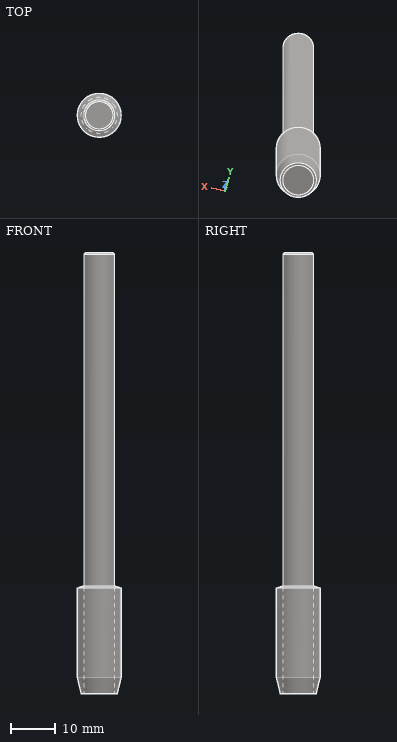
import cadquery as cq

total_length = 100.0

sleeve_diameter = 10.0
sleeve_length = 24.5
shoulder_drop = 0.5
tip_diameter = 8.2
tip_length = 3.7

rod_diameter = 7.0
rod_chamfer = 0.4


def make_rod():
    """Straight round rod over the full length, chamfered at its upper end."""
    rod = cq.Workplane("XY").circle(rod_diameter / 2).extrude(total_length)
    return rod.faces(">Z").chamfer(rod_chamfer)


def make_sleeve():
    """Round sleeve with a tapered lower end, a sloping shoulder and a through bore for the rod."""
    sleeve_radius = sleeve_diameter / 2
    profile = (
        cq.Workplane("XZ")
        .moveTo(rod_diameter / 2, 0)
        .lineTo(tip_diameter / 2, 0)
        .lineTo(sleeve_radius, tip_length)
        .lineTo(sleeve_radius, sleeve_length - shoulder_drop)
        .lineTo(rod_diameter / 2, sleeve_length)
        .close()
    )
    return profile.revolve(360, (0, 0, 0), (0, 1, 0))


rod = make_rod()
sleeve = make_sleeve()

result = cq.Compound.makeCompound([rod.val(), sleeve.val()])